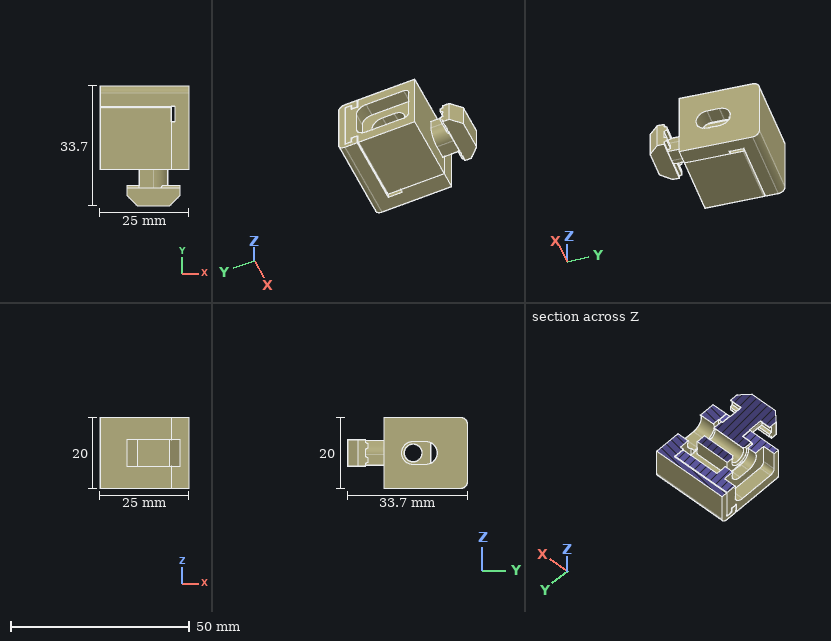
import cadquery as cq

clamp_width = 25.0
clamp_depth = 23.5
clamp_height = 20.0
half_height = clamp_height / 2
block_width = 20.0

shoulder_y = 17.5
rail_head_y = 19.65
rail_back_y = 21.4
rail_neck_half = 6.75
rail_head_half = 8.5
rail_edge_radius = 0.25

lip_front_y = 17.75
lip_back_y = 19.45
lip_inner_half = 6.85
cover_slot_back_y = 21.5
cover_edge_radius = 2.0
relief_width = 1.0
relief_length = 4.3

opening_center_y = 9.95
pocket_length = 16.1
pocket_height = 12.8
pocket_depth = 4.0
pocket_front_radius = 1.5
pocket_back_radius = 3.0
slot_length = 10.0
slot_height = 6.4
slot_end_x = 7.0

anchor_x = 15.0
head_width = 15.0
head_height = 7.5
head_back_y = -5.2
head_thickness = 5.0
head_chamfer = 3.0
tooth_height = 0.8
tooth_base = 2.0
tooth_tip = 1.1
tooth_offset = 2.0
stem_width = 8.0
stem_height = 7.0
stem_corner_radius = 4.0
foot_length = 10.0
foot_front_y = 3.2
thread_diameter = 4.92
thread_chamfer = 0.6

stem_left = anchor_x - stem_width / 2
stem_right = anchor_x + stem_width / 2
foot_left = anchor_x - head_width / 2
foot_back_y = foot_front_y + foot_length
foot_center_y = foot_front_y + foot_length / 2
cavity_back_y = opening_center_y + pocket_length / 2


def box(x_range, y_range, z_range):
    """Axis-aligned box between the given limits."""
    size = [high - low for low, high in (x_range, y_range, z_range)]
    corner = (x_range[0], y_range[0], z_range[0])
    return cq.Workplane("XY").box(*size, centered=False).translate(corner)


def side_prism(points, x_start, length):
    """Prism along +X from a closed (y, z) outline."""
    return cq.Workplane("YZ", origin=(x_start, 0, 0)).polyline(points).close().extrude(length)


def both_sides(half_outline):
    """Complete an outline given for +Z with its mirror image below."""
    return half_outline + [(y, -z) for y, z in reversed(half_outline)]


def side_slot(x_start, x_end):
    """Round-ended slot along Y, cut in the X direction."""
    slot = cq.Workplane("YZ", origin=(x_start, opening_center_y, 0))
    return slot.slot2D(slot_length, slot_height).extrude(x_end - x_start)


def stem_bar(y_start, y_end):
    """Stem: a rectangular bar with two diagonally opposite corners rounded."""
    half = stem_height / 2
    bar = box((stem_left, stem_right), (y_start, y_end), (-half, half))
    bar = bar.edges("|Y and <X and <Z").fillet(stem_corner_radius)
    return bar.edges("|Y and >X and >Z").fillet(stem_corner_radius)


def make_block():
    outline = both_sides([
        (0, half_height),
        (shoulder_y, half_height),
        (shoulder_y, rail_neck_half),
        (rail_head_y, rail_neck_half),
        (rail_head_y, rail_head_half),
        (rail_back_y, rail_head_half),
    ])
    body = side_prism(outline, 0, block_width)
    rail_zone = cq.selectors.BoxSelector(
        (-1, shoulder_y - 1, -clamp_height), (clamp_width, clamp_depth, clamp_height)
    )
    body = body.edges("|X").edges(rail_zone).fillet(rail_edge_radius)

    pocket_half_length = pocket_length / 2
    pocket = box(
        (0, pocket_depth),
        (opening_center_y - pocket_half_length, opening_center_y + pocket_half_length),
        (-pocket_height / 2, pocket_height / 2),
    )
    pocket = pocket.edges("|X and <Y").fillet(pocket_front_radius)
    pocket = pocket.edges("|X and >Y").fillet(pocket_back_radius)
    body = body.cut(pocket).cut(side_slot(pocket_depth, slot_end_x))

    cavity = box(
        (slot_end_x, block_width),
        (foot_front_y, cavity_back_y),
        (-head_height / 2, head_height / 2),
    )
    return body.cut(cavity).cut(stem_bar(0, foot_front_y))


def make_cover():
    body = box((0, clamp_width), (0, clamp_depth), (-half_height, half_height))
    body = body.edges("|X and >Y").fillet(cover_edge_radius)

    body = body.cut(box((0, block_width), (0, lip_front_y), (-half_height, half_height)))
    rail_channel = both_sides([
        (lip_front_y, lip_inner_half),
        (lip_back_y, lip_inner_half),
        (lip_back_y, rail_head_half),
        (cover_slot_back_y, rail_head_half),
    ])
    body = body.cut(side_prism(rail_channel, 0, block_width))

    relief = box(
        (block_width, block_width + relief_width),
        (lip_front_y - relief_length, lip_front_y),
        (-half_height, half_height),
    )
    return body.cut(relief).cut(side_slot(block_width, clamp_width))


def make_anchor():
    head = box(
        (foot_left, foot_left + head_width),
        (head_back_y - head_thickness, head_back_y),
        (-head_height / 2, head_height / 2),
    )
    body = head.edges("|Z and <Y").chamfer(head_chamfer)

    for center_z in (-tooth_offset, tooth_offset):
        tooth = side_prism(
            [
                (head_back_y, center_z - tooth_base / 2),
                (head_back_y + tooth_height, center_z - tooth_tip / 2),
                (head_back_y + tooth_height, center_z + tooth_tip / 2),
                (head_back_y, center_z + tooth_base / 2),
            ],
            foot_left,
            head_width,
        )
        body = body.union(tooth)

    foot = box(
        (foot_left, stem_right),
        (foot_front_y, foot_back_y),
        (-head_height / 2, head_height / 2),
    )
    body = body.union(stem_bar(head_back_y, foot_front_y)).union(foot)

    hole_start = cq.Workplane("YZ", origin=(foot_left, foot_center_y, 0))
    hole = hole_start.circle(thread_diameter / 2).extrude(stem_right - foot_left)
    mouth = cq.Workplane(cq.Solid.makeCone(
        thread_diameter / 2 + thread_chamfer,
        thread_diameter / 2,
        thread_chamfer,
        cq.Vector(foot_left, foot_center_y, 0),
        cq.Vector(1, 0, 0),
    ))
    return body.cut(hole).cut(mouth)


block = make_block()
cover = make_cover()
anchor = make_anchor()

result = cq.Compound.makeCompound([block.val(), cover.val(), anchor.val()])